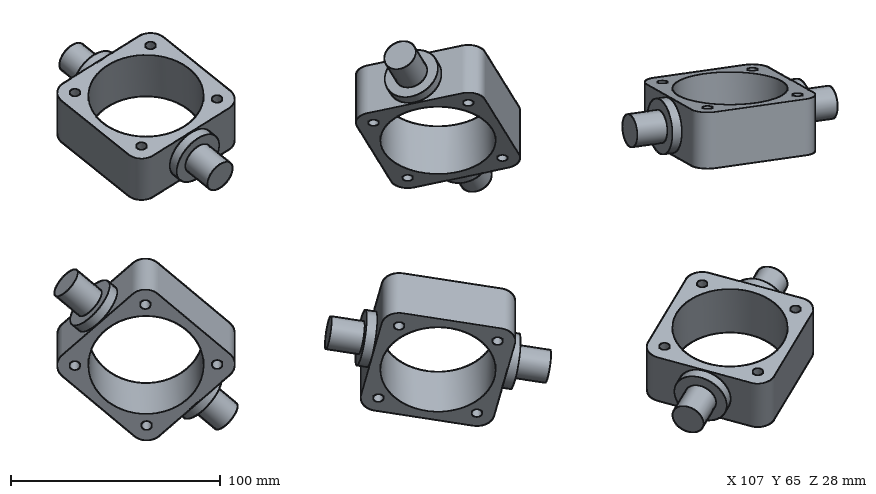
import cadquery as cq

overall_length = 107.0
body_side = 65.0
body_height = 28.0
bore_diameter = 55.0
corner_radius = 8.5
bolt_hole_diameter = 5.0
collar_diameter = 27.0
collar_thickness = 5.0
trunnion_diameter = 16.0

bolt_spacing = body_side - 2 * corner_radius


def make_body():
    """Square block with rounded vertical edges, centred on the origin."""
    block = cq.Workplane("XY").box(body_side, body_side, body_height)
    return block.edges("|Z").fillet(corner_radius)


def make_trunnion(direction):
    """Collar and shaft on the X axis, pointing along +X (1) or -X (-1)."""
    face_x = body_side / 2
    shaft_length = overall_length / 2 - face_x
    base = cq.Workplane("YZ", origin=(direction * face_x, 0, 0))
    collar = base.circle(collar_diameter / 2).extrude(direction * collar_thickness)
    shaft = base.circle(trunnion_diameter / 2).extrude(direction * shaft_length)
    return collar.union(shaft)


def make_through_holes():
    """Cutters for the central bore and the four corner bolt holes."""
    base = cq.Workplane("XY").workplane(offset=-body_height / 2)
    bore = base.circle(bore_diameter / 2).extrude(body_height)
    bolt_holes = (
        base.rect(bolt_spacing, bolt_spacing, forConstruction=True)
        .vertices()
        .circle(bolt_hole_diameter / 2)
        .extrude(body_height)
    )
    return bore.union(bolt_holes)


result = make_body()
for side in (-1, 1):
    result = result.union(make_trunnion(side))
result = result.cut(make_through_holes())